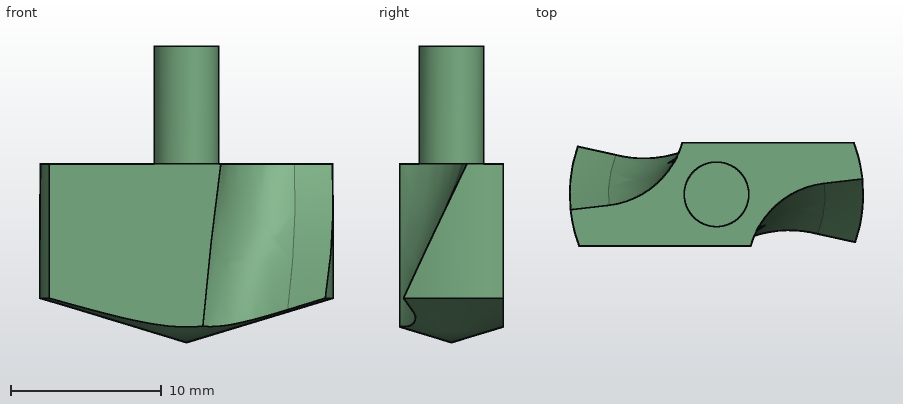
import cadquery as cq
import math

total_height = 19.7
cut_diameter = 19.5
blade_thickness = 6.88
blade_top = 11.88
shoulder_height = 2.95
shank_diameter = 4.3

flute_radius = 5.75
flute_center_x = 7.82
flute_center_y = -4.98
face_angle = 6.6
face_length = 3.55
twist_rate = 2.812

cut_radius = cut_diameter / 2
twist = twist_rate * blade_top


def make_blade():
    """Turned body with a conical point, cut down to a flat slab."""
    turned = (
        cq.Workplane("XZ")
        .polyline([(0, 0), (cut_radius, shoulder_height), (cut_radius, blade_top), (0, blade_top)])
        .close()
        .revolve(360, (0, 0, 0), (0, 1, 0))
    )
    slab = cq.Workplane("XY").box(
        cut_diameter, blade_thickness, blade_top, centered=(True, True, False)
    )
    return turned.intersect(slab)


def make_flute():
    """Helical cutter: a round gullet running tangent into a flat cutting face."""
    def arc_point(degrees):
        angle = math.radians(degrees)
        return (
            flute_center_x + flute_radius * math.cos(angle),
            flute_center_y + flute_radius * math.sin(angle),
        )

    tangent_angle = face_angle + 90
    gullet_end_angle = tangent_angle + 180
    gullet_middle_angle = (tangent_angle + gullet_end_angle) / 2
    face_start = arc_point(tangent_angle)
    face_end = (
        face_start[0] + face_length * math.cos(math.radians(face_angle)),
        face_start[1] + face_length * math.sin(math.radians(face_angle)),
    )
    gullet_end = arc_point(gullet_end_angle)
    return (
        cq.Workplane("XY")
        .transformed(rotate=(0, 0, -twist))
        .moveTo(*face_end)
        .lineTo(*face_start)
        .threePointArc(arc_point(gullet_middle_angle), gullet_end)
        .lineTo(face_end[0], gullet_end[1])
        .close()
        .twistExtrude(blade_top, twist)
    )


def make_shank():
    return (
        cq.Workplane("XY")
        .workplane(offset=blade_top)
        .circle(shank_diameter / 2)
        .extrude(total_height - blade_top)
    )


blade = make_blade()
flute = make_flute()
for turn in (0, 180):
    blade = blade.cut(flute.rotate((0, 0, 0), (0, 0, 1), turn))

result = blade.union(make_shank())